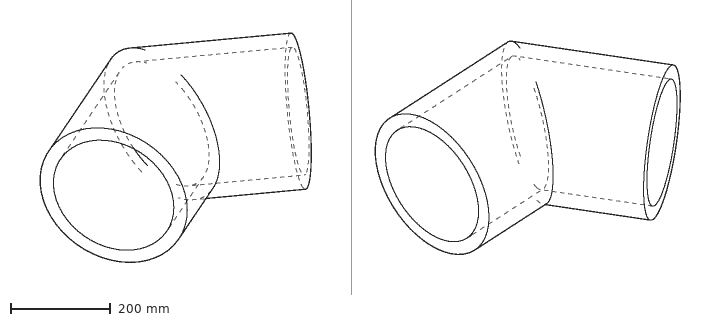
import cadquery as cq
import math

outer_diameter = 315.0
wall_thickness = 29.0
overall_length = 552.5
bend_angle = math.radians(60)

inner_diameter = outer_diameter - 2 * wall_thickness

outlet_rim_rise = outer_diameter / 2 * math.sin(bend_angle)
leg_length = (overall_length - outlet_rim_rise) / (1 + math.cos(bend_angle))

mitre_normal = (math.sin(bend_angle / 2), math.cos(bend_angle / 2), 0)
mitre_plane = cq.Plane(origin=(0, 0, 0), xDir=(0, 0, 1), normal=mitre_normal)

mitre_overrun = outer_diameter / 2 * math.tan(bend_angle / 2)
tube_length = leg_length + mitre_overrun
inlet_tube = (
    cq.Workplane("XZ", origin=(0, -leg_length, 0))
    .circle(outer_diameter / 2)
    .circle(inner_diameter / 2)
    .extrude(-tube_length)
)

trim_size = 2 * tube_length
trim_block = cq.Workplane(mitre_plane).rect(trim_size, trim_size).extrude(trim_size)
inlet_leg = inlet_tube.cut(trim_block)

outlet_leg = inlet_leg.mirror(cq.Vector(*mitre_normal), (0, 0, 0))

result = inlet_leg.union(outlet_leg)